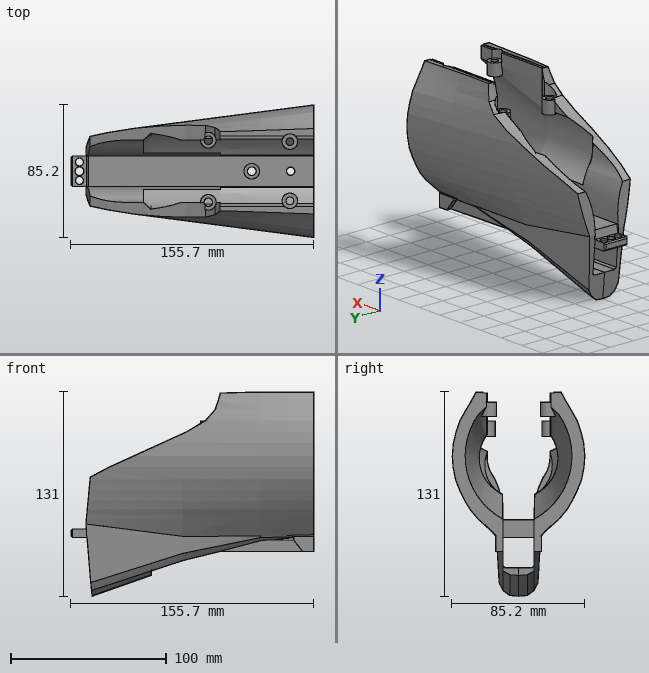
import cadquery as cq
import math

LENGTH = 155.7
WIDTH = 85.2
NOSE_X = 9.3
TOP_Z = 131.0
RAIL_WIDTH = 19.8
SLOT_HALF = RAIL_WIDTH / 2
RAIL_TOP_Z = 49.2
RAIL_BOTTOM_Z = 37.7
SLOT_FLOOR_Z = 18.4
SLOT_CORNER = 1.2
MARGIN = 7.8

HULL_LEVELS = [
    (49.5, 15.5, 26.0),
    (55.5, 17.5, 31.0),
    (61.3, 19.0, 34.5),
    (67.7, 20.4, 37.7),
    (74.7, 21.8, 40.5),
    (82.7, 23.0, 42.0),
    (89.8, 23.5, WIDTH / 2),
    (98.2, 22.5, 41.9),
    (105.4, 21.2, 40.2),
    (112.7, 20.4, 37.7),
    (119.5, 20.5, 33.8),
    (126.0, 21.6, 30.0),
    (TOP_Z, 22.1, 27.4),
]

KEEL_STATIONS = [
    (NOSE_X, [(0, -1.4), (5.6, -1.0), (10.0, 2.5), (12.5, 7.8), (14.6, 46.4)]),
    (71.6, [(0, 20.5), (5.6, 20.9), (10.0, 22.9), (13.5, 27.5), (14.5, 38.5)]),
    (121.5, [(0, 35.0), (5.6, 35.0), (10.0, 35.2), (14.0, 37.7), (14.6, 38.6)]),
    (138.5, [(0, 37.2), (5.6, 37.2), (10.0, 37.2), (14.3, 38.1), (14.8, 39.1)]),
    (LENGTH, [(0, 37.7), (5.6, 37.7), (10.0, 37.7), (14.5, 38.5), (15.0, 39.5)]),
]

KEEL_OPENING_X = 51.4

SEAT_Z = 88.6
SEAT_RADIUS = 25.2
SEAT_FRONT_X = 46.2
SEAT_TAPER_LENGTH = 4.8
SEAT_NOSE_Z = 84.2
SEAT_NOSE_RADIUS = 21.6
SEAT_REAR_X = 95.7
CHANNEL_HALF = 20.1

LIP_HALF = 20.7
LIP_BOTTOM_Z = 121.5
CAVITY_LOW_HALF = 10.3
CAVITY_LOW_Z = SEAT_Z - math.sqrt(SEAT_RADIUS**2 - CAVITY_LOW_HALF**2)
CAVITY_HIGH_Z = SEAT_Z + math.sqrt(SEAT_RADIUS**2 - LIP_HALF**2)
CAVITY_FRONT_WALL = [(CAVITY_LOW_HALF, CAVITY_LOW_Z), (SEAT_RADIUS, SEAT_Z), (LIP_HALF, CAVITY_HIGH_Z)]
CAVITY_REAR_WALL = [(CAVITY_LOW_HALF, 49.7), (34.3, 88.7), (25.7, 116.8)]
TOP_STEP_HALF = 22.7
TOP_STEP_DEPTH = 0.5

BOSS_DIAMETER = 10.0
FRONT_BOSS = (88.0, 20.0, 102.5, 112.5, 5.5)
REAR_BOSS = (140.3, 19.0, 115.2, 124.5, 5.0)

SKIRT_FRONT_X = 93.4
SKIRT_BOTTOM_Z = 28.6
SKIRT_TOP_Z = 36.3
SKIRT_FRONT_HALF = 10.0
SKIRT_REAR_HALF = 11.5
PAD_HALF = 14.8
PAD_TOP_Z = 38.5
PAD_FRONT_X = 142.6
PAD_BOTTOM_X = 148.5

TAB_TOP_Z = 43.3
TAB_REAR_X = 9.8
PLATE_FRONT_X = 11.0
TAB_CHAMFER = 1.0
TAB_HOLE_X = 5.3
TAB_HOLES = [(-5.9, 5.0), (0, 5.5), (5.9, 5.0)]
BORED_HOLE_X = 115.8
BORED_HOLE_DIAMETER = 5.5
BORE_DIAMETER = 10.0
BORE_DEPTH = 4.7
PLAIN_HOLE_X = 140.7
PLAIN_HOLE_DIAMETER = 5.1


def section(x, points):
    """Closed polygon in the plane at x, from (y, z) points."""
    return cq.Wire.makePolygon([cq.Vector(x, y, z) for y, z in points], close=True)


def block(x0, x1, y0, y1, z0, z1):
    """Box between opposite limits along each axis."""
    return cq.Workplane("XY").box(x1 - x0, y1 - y0, z1 - z0, centered=False).translate((x0, y0, z0))


def upright(x, y, diameter, z0, z1):
    """Vertical cylinder between two heights."""
    return cq.Workplane("XY", origin=(x, y, z0)).circle(diameter / 2).extrude(z1 - z0)


def hull():
    """Solid outer form of the +Y half, before its ends and top are trimmed."""
    sections = []
    for x, keel in KEEL_STATIONS:
        t = (x - NOSE_X) / (LENGTH - NOSE_X)
        flank = [(nose + t * (rear - nose), z) for z, nose, rear in HULL_LEVELS]
        sections.append(section(x, keel + flank + [(0, TOP_Z)]))
    return cq.Workplane(cq.Solid.makeLoft(sections, True))


def side_profile():
    """Side outline that trims the nose and the sloping, stepped top edge."""
    return (
        cq.Workplane("XZ")
        .moveTo(13.4, 0)
        .lineTo(12.5, 8.7)
        .lineTo(NOSE_X, 46.4)
        .lineTo(12.1, 76.5)
        .lineTo(23.8, 82.7)
        .lineTo(73.6, 105.4)
        .lineTo(86.1, 112.7)
        .lineTo(92.2, 119.5)
        .lineTo(94.2, 125.3)
        .lineTo(95.6, 130.5)
        .lineTo(112.7, TOP_Z)
        .lineTo(LENGTH, TOP_Z)
        .lineTo(LENGTH, 0)
        .close()
        .extrude(-LENGTH)
    )


def skirt():
    """Thin, tapering wall beside the slot, with its rear pad."""
    wall = (
        cq.Workplane("XY", origin=(0, 0, SKIRT_BOTTOM_Z))
        .moveTo(SKIRT_FRONT_X, SLOT_HALF)
        .lineTo(LENGTH, SLOT_HALF)
        .lineTo(LENGTH, SKIRT_REAR_HALF)
        .lineTo(SKIRT_FRONT_X, SKIRT_FRONT_HALF)
        .close()
        .extrude(SKIRT_TOP_Z - SKIRT_BOTTOM_Z)
    )
    pad = (
        cq.Workplane("XZ", origin=(0, SLOT_HALF, 0))
        .moveTo(PAD_BOTTOM_X, SKIRT_BOTTOM_Z)
        .lineTo(LENGTH, SKIRT_BOTTOM_Z)
        .lineTo(LENGTH, PAD_TOP_Z)
        .lineTo(PAD_FRONT_X, PAD_TOP_Z)
        .lineTo(PAD_FRONT_X, SKIRT_TOP_Z)
        .close()
        .extrude(SLOT_HALF - PAD_HALF)
    )
    return wall.union(pad)


def channel():
    """Slot for the rail, flaring upward into a wide open channel."""
    return (
        cq.Workplane("YZ")
        .moveTo(-SLOT_HALF, SLOT_FLOOR_Z)
        .lineTo(SLOT_HALF - SLOT_CORNER, SLOT_FLOOR_Z)
        .lineTo(SLOT_HALF, SLOT_FLOOR_Z + SLOT_CORNER)
        .lineTo(SLOT_HALF, 53.0)
        .threePointArc((11.5, 65.4), (15.7, 76.3))
        .threePointArc((18.8, 82.0), (CHANNEL_HALF, SEAT_Z))
        .lineTo(CHANNEL_HALF, TOP_Z + MARGIN)
        .lineTo(-SLOT_HALF, TOP_Z + MARGIN)
        .close()
        .extrude(SEAT_REAR_X)
    )


def motor_seat():
    """Round pocket along X whose front end tapers to a smaller, lower circle."""
    full_x = SEAT_FRONT_X + SEAT_TAPER_LENGTH
    along_x = cq.Vector(1, 0, 0)
    nose_circle = cq.Wire.makeCircle(SEAT_NOSE_RADIUS, cq.Vector(SEAT_FRONT_X, 0, SEAT_NOSE_Z), along_x)
    full_circle = cq.Wire.makeCircle(SEAT_RADIUS, cq.Vector(full_x, 0, SEAT_Z), along_x)
    taper = cq.Workplane(cq.Solid.makeLoft([nose_circle, full_circle], True))
    barrel = cq.Workplane("YZ", origin=(full_x, 0, SEAT_Z)).circle(SEAT_RADIUS).extrude(SEAT_REAR_X - full_x)
    return taper.union(barrel)


def cavity_section(x, wall):
    """Cross-section of the rear cavity at x, for a round wall through three points."""
    return (
        cq.Workplane("YZ", origin=(x, 0, 0))
        .moveTo(0, RAIL_TOP_Z)
        .lineTo(SLOT_HALF, RAIL_TOP_Z)
        .lineTo(*wall[0])
        .threePointArc(wall[1], wall[2])
        .lineTo(LIP_HALF, LIP_BOTTOM_Z)
        .lineTo(LIP_HALF, TOP_Z + MARGIN)
        .lineTo(0, TOP_Z + MARGIN)
        .close()
        .val()
    )


def rear_cavity():
    """Widening cavity behind the motor seat, undercut below the top lip."""
    front = cavity_section(SEAT_REAR_X, CAVITY_FRONT_WALL)
    rear = cavity_section(LENGTH, CAVITY_REAR_WALL)
    return cq.Workplane(cq.Solid.makeLoft([front, rear], True))


def boss(x, y, bottom_z, top_z):
    """Screw boss; the part of it inside the wall stops at the sloping top edge."""
    post = upright(x, y, BOSS_DIAMETER, bottom_z, top_z)
    wall_side = block(0, LENGTH, CHANNEL_HALF, CHANNEL_HALF + BOSS_DIAMETER, 0, TOP_Z)
    return post.cut(wall_side).union(post.intersect(side_profile()))


def shell_half():
    """The +Y half shell."""
    slot = block(SEAT_REAR_X, LENGTH, -SLOT_HALF, SLOT_HALF, SLOT_FLOOR_Z, TOP_Z)
    opening = block(KEEL_OPENING_X, LENGTH, -SLOT_HALF, SLOT_HALF, -MARGIN, RAIL_TOP_Z)
    top_step = block(SEAT_REAR_X - MARGIN, LENGTH, 0, TOP_STEP_HALF, TOP_Z - TOP_STEP_DEPTH, TOP_Z + MARGIN)
    body = hull().intersect(side_profile()).union(skirt())
    for tool in (channel(), motor_seat(), rear_cavity(), slot, opening, top_step):
        body = body.cut(tool)
    for x, y, z0, z1, hole in (FRONT_BOSS, REAR_BOSS):
        body = body.union(boss(x, y, z0, z1))
        body = body.cut(upright(x, y, BOSS_DIAMETER, z1, TOP_Z + MARGIN))
        body = body.cut(upright(x, y, hole, z0, z1))
    return body


def rail():
    """Straight bar between the shells, with a drilled tab at its front end."""
    bar = (
        cq.Workplane("XZ", origin=(0, SLOT_HALF, 0))
        .moveTo(TAB_REAR_X, RAIL_BOTTOM_Z)
        .lineTo(LENGTH, RAIL_BOTTOM_Z)
        .lineTo(LENGTH, RAIL_TOP_Z)
        .lineTo(PLATE_FRONT_X, RAIL_TOP_Z)
        .lineTo(TAB_REAR_X, TAB_TOP_Z)
        .close()
        .extrude(RAIL_WIDTH)
    )
    tab = block(0, TAB_REAR_X, -SLOT_HALF, SLOT_HALF, RAIL_BOTTOM_Z, TAB_TOP_Z)
    body = bar.union(tab.faces("<X").chamfer(TAB_CHAMFER))
    for y, diameter in TAB_HOLES:
        body = body.cut(upright(TAB_HOLE_X, y, diameter, RAIL_BOTTOM_Z, TAB_TOP_Z))
    for x, diameter in ((BORED_HOLE_X, BORED_HOLE_DIAMETER), (PLAIN_HOLE_X, PLAIN_HOLE_DIAMETER)):
        body = body.cut(upright(x, 0, diameter, RAIL_BOTTOM_Z, RAIL_TOP_Z))
    return body.cut(upright(BORED_HOLE_X, 0, BORE_DIAMETER, RAIL_TOP_Z - BORE_DEPTH, RAIL_TOP_Z))


left_shell = shell_half()
right_shell = left_shell.mirror("XZ")
center_rail = rail()

result = cq.Compound.makeCompound([body.solids().val() for body in (left_shell, right_shell, center_rail)])